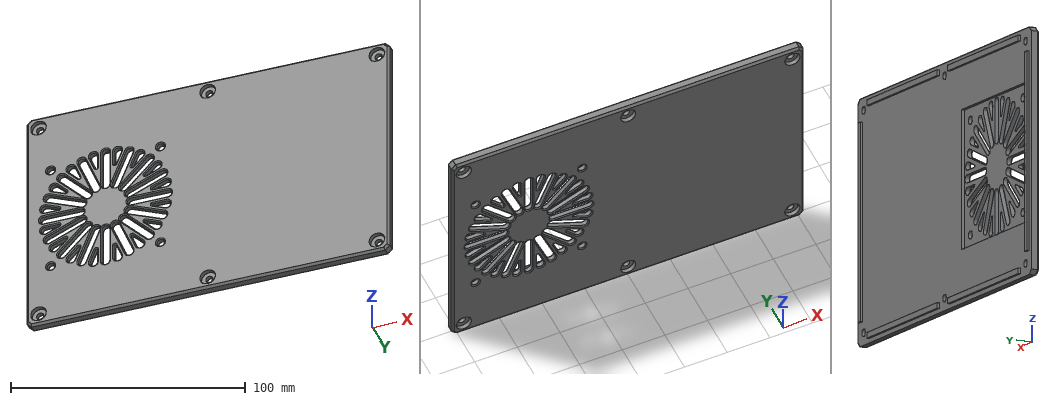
import cadquery as cq
import math

LENGTH = 165.0
HEIGHT = 108.0
PLATE_THICKNESS = 4.0
CORNER_CHAMFER = 2.0
FRONT_CHAMFER = 1.0

RAIL_HEIGHT = 1.0
RAIL_WIDTH = 2.5
RAIL_INSET = 2.0
RAIL_SCREW_CLEARANCE = 5.0

SCREW_MARGIN = 5.5
SCREW_DIAMETER = 3.2
SCREW_HEAD_DIAMETER = 7.0
SCREW_HEAD_DEPTH = 2.0
SCREW_X = LENGTH / 2 - SCREW_MARGIN
SCREW_Z = HEIGHT / 2 - SCREW_MARGIN

FAN_X = -46.5
FAN_HOLE_SPACING = 50.0
FAN_HOLE_DIAMETER = 3.5
GRILLE_OUTER_RADIUS = 30.0
GRILLE_INNER_RADIUS = 9.8
SLOT_COUNT = 16
SLOT_WIDTH = 3.5
RIB_WIDTH = 2.0
WEDGE_TIP_RADIUS = 0.5
OPENING_CHAMFER = 0.5

FAN_SEAT_SIZE = 61.0
FAN_SEAT_DEPTH = 1.5


def front_plane():
    """Sketch plane on the front face, local axes X and Z; a negative extrusion goes into the plate."""
    return cq.Workplane("XZ")


def make_plate():
    plate = front_plane().rect(LENGTH, HEIGHT).extrude(-PLATE_THICKNESS)
    plate = plate.edges("|Y").chamfer(CORNER_CHAMFER)
    return plate.faces("<Y").edges().chamfer(FRONT_CHAMFER)


def make_full_slot():
    """Cutter for one round-ended slot pointing along +X from the grille centre."""
    mid_radius = (GRILLE_OUTER_RADIUS + GRILLE_INNER_RADIUS) / 2
    slot_length = GRILLE_OUTER_RADIUS - GRILLE_INNER_RADIUS
    return front_plane().center(mid_radius, 0).slot2D(slot_length, SLOT_WIDTH).extrude(-PLATE_THICKNESS)


def make_wedge_slot():
    """Cutter for one tapered slot along +X, its sides parallel to the full slots on either side."""
    half_angle = math.pi / SLOT_COUNT
    sine = math.sin(half_angle)
    cosine = math.cos(half_angle)
    side_offset = SLOT_WIDTH / 2 + RIB_WIDTH
    end_radius = (GRILLE_OUTER_RADIUS * sine - side_offset) / (1 + sine)
    end_center = GRILLE_OUTER_RADIUS - end_radius
    tip_center = (side_offset + WEDGE_TIP_RADIUS) / sine

    end_x = end_center - end_radius * sine
    end_z = end_radius * cosine
    tip_x = tip_center - WEDGE_TIP_RADIUS * sine
    tip_z = WEDGE_TIP_RADIUS * cosine
    return (
        front_plane()
        .moveTo(tip_x, tip_z)
        .lineTo(end_x, end_z)
        .threePointArc((GRILLE_OUTER_RADIUS, 0), (end_x, -end_z))
        .lineTo(tip_x, -tip_z)
        .threePointArc((tip_center - WEDGE_TIP_RADIUS, 0), (tip_x, tip_z))
        .close()
        .extrude(-PLATE_THICKNESS)
    )


def cut_fan_openings(body):
    """Cut the grille and the fan mounting holes, then chamfer their front edges."""
    full_slot = make_full_slot()
    wedge_slot = make_wedge_slot()
    pitch = 360.0 / SLOT_COUNT
    for index in range(SLOT_COUNT):
        for cutter, angle in ((full_slot, index * pitch), (wedge_slot, (index + 0.5) * pitch)):
            turned = cutter.rotate((0, 0, 0), (0, 1, 0), angle)
            body = body.cut(turned.translate((FAN_X, 0, 0)))

    fan_holes = (
        front_plane()
        .center(FAN_X, 0)
        .rect(FAN_HOLE_SPACING, FAN_HOLE_SPACING, forConstruction=True)
        .vertices()
        .circle(FAN_HOLE_DIAMETER / 2)
        .extrude(-PLATE_THICKNESS)
    )
    body = body.cut(fan_holes)

    opening_edges = [
        edge
        for wire in body.faces("<Y").val().innerWires()
        for edge in wire.Edges()
    ]
    return body.newObject(opening_edges).chamfer(OPENING_CHAMFER)


def cut_fan_seat(body):
    back_plane = front_plane().workplane(offset=-PLATE_THICKNESS)
    seat = back_plane.center(FAN_X, 0).rect(FAN_SEAT_SIZE, FAN_SEAT_SIZE).extrude(FAN_SEAT_DEPTH)
    return body.cut(seat)


def cut_screw_holes(body):
    centers = [(x, z) for x in (-SCREW_X, 0, SCREW_X) for z in (-SCREW_Z, SCREW_Z)]
    holes = front_plane().pushPoints(centers).circle(SCREW_DIAMETER / 2).extrude(-PLATE_THICKNESS)
    heads = front_plane().pushPoints(centers).circle(SCREW_HEAD_DIAMETER / 2).extrude(-SCREW_HEAD_DEPTH)
    return body.cut(holes).cut(heads)


def add_rails(body):
    back_plane = front_plane().workplane(offset=-PLATE_THICKNESS)
    rail_x = (LENGTH - RAIL_WIDTH) / 2 - RAIL_INSET
    rail_z = (HEIGHT - RAIL_WIDTH) / 2 - RAIL_INSET
    long_rail = SCREW_X - 2 * RAIL_SCREW_CLEARANCE
    short_rail = 2 * (SCREW_Z - RAIL_SCREW_CLEARANCE)
    for side in (-1, 1):
        upright = back_plane.center(side * rail_x, 0).rect(RAIL_WIDTH, short_rail)
        body = body.union(upright.extrude(-RAIL_HEIGHT))
        half_centers = [(-SCREW_X / 2, side * rail_z), (SCREW_X / 2, side * rail_z)]
        level = back_plane.pushPoints(half_centers).rect(long_rail, RAIL_WIDTH)
        body = body.union(level.extrude(-RAIL_HEIGHT))
    return body


result = make_plate()
result = cut_fan_openings(result)
result = cut_fan_seat(result)
result = cut_screw_holes(result)
result = add_rails(result)